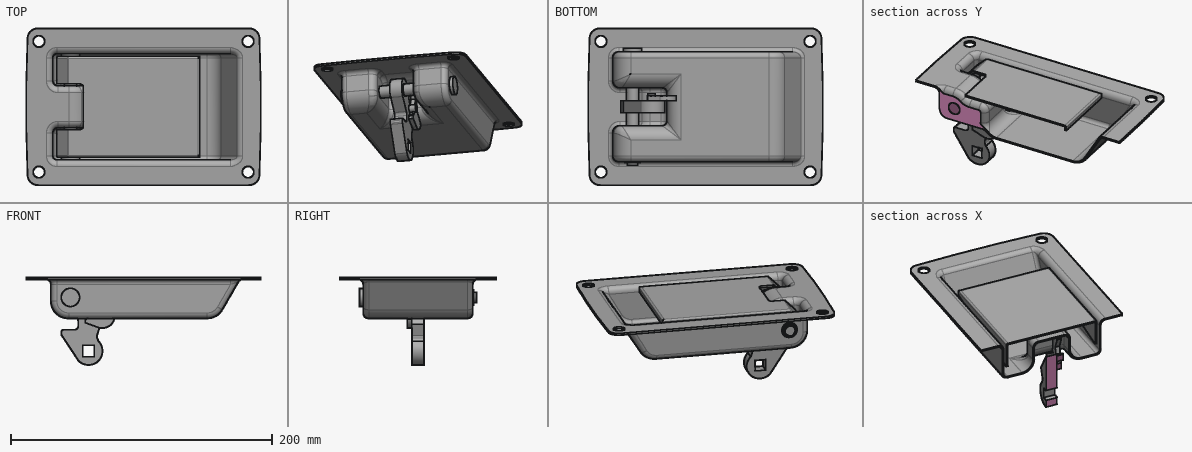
import cadquery as cq
import math

sheet = 1.6

flange_length = 179.7
flange_corner_length = 176.8
flange_width = 120.0
flange_corner_radius = 8.0
screw_hole_diameter = 8.6
screw_spacing_x = 160.0
screw_spacing_y = 99.9

tray_left = -71.0
tray_right = 74.5
tray_depth = 31.5
tray_half_width = 42.0
tray_end_angle = 60.0
tray_end_radius = 13.7
tray_edge_radius = 4.5
rim_radius = 3.5
lobe_radius = 5.5

notch_half_width = 14.4
notch_back = -29.6
notch_bottom_radius = 10.8
notch_shelf_radius = 4.7
tab_bend_start = -57.3
tab_bend_angle = 40.0
tab_upper_radius = 13.5
tab_lower_radius = 9.2

pivot_x = -55.9
pivot_z = -15.3
pin_radius = 4.7
pin_head_radius = 7.0
pin_head_length = 2.7
pin_tip_radius = 4.1
pin_tip_length = 2.7
ring_radius = 6.0
ring_thickness = 0.7

paddle_half_width = 38.5
paddle_right = 43.0
paddle_bend_x = -58.0
paddle_heel_z = -8.3
paddle_slope_angle = 45.0
paddle_skirt = 4.5
paddle_edge_radius = 1.5
paddle_ear_bottom = -22.6
paddle_ear_half_length = 5.8
paddle_notch_half_width = 17.5
paddle_notch_right = -46.0
paddle_notch_corner = 2.7
boss_radius = 7.0

lever_thickness = 9.5
hub_radius = 9.0
hub_flank_angle = 50.0
lever_left = -50.0
toe_left = -62.9
toe_top = -39.9
toe_bottom = -43.8
bulb_x = -42.0
bulb_z = -56.2
bulb_radius = 10.8
bulb_touch_angle = 225.0
bulb_neck_angle = 45.0
neck_x = -35.8
neck_z = -45.3
shoulder_x = -32.7
shoulder_z = -36.0
square_hole = 8.5
knee_radius = 3.6
toe_inner_radius = 2.7
toe_radius = 1.8
neck_radius = 2.7

catch_thickness = 3.6
catch_left = -44.4
catch_heel_top = -32.5
catch_heel_bottom = -34.7
catch_heel_step = (-41.9, -30.2)
catch_throat = (-38.3, -17.0)
catch_top_left = -42.2
catch_top_right = -34.1
catch_top = -7.5
catch_back = (-33.2, -25.2)
nose_x = -31.5
nose_z = -29.3
nose_radius = 9.5
nose_start_angle = 247.0
nose_end_angle = 344.0
stud_x = -41.1
stud_z = -25.5
stud_radius = 2.9
stud_length = 5.2


def polar(center, radius, degrees):
    """Point at an angle, counter-clockwise from +X in the XZ plane."""
    angle = math.radians(degrees)
    return (center[0] + radius * math.cos(angle), center[1] + radius * math.sin(angle))


def cylinder_y(x, z, radius, y_start, y_end):
    """Round bar along Y between two stations."""
    plane = cq.Plane(origin=(x, y_start, z), xDir=(1, 0, 0), normal=(0, 1, 0))
    return cq.Workplane(plane).circle(radius).extrude(y_end - y_start)


def tangent_angle(point, center, radius):
    """Direction from a circle's center to the upper touching point of a line from an outside point."""
    dx = point[0] - center[0]
    dz = point[1] - center[1]
    spread = math.acos(radius / math.hypot(dx, dz))
    return math.degrees(math.atan2(dz, dx) + spread)


def round_at(body, x, z, radius):
    """Round the edge along Y that is nearest to (x, z)."""
    return body.edges("|Y").edges(cq.selectors.NearestToPointSelector((x, 0, z))).fillet(radius)


def plain_tray(inset, rim_z):
    """Tray block without its notch; the inset moves every face inward."""
    slope = math.tan(math.radians(tray_end_angle))
    left = tray_left + inset
    right = tray_right - inset / math.sin(math.radians(tray_end_angle))
    bottom = inset - tray_depth
    tray = (
        cq.Workplane("XZ")
        .polyline([
            (left, rim_z),
            (right + rim_z / slope, rim_z),
            (right + bottom / slope, bottom),
            (left, bottom),
        ])
        .close()
        .extrude(tray_half_width - inset, both=True)
    )
    tray = tray.edges("|Y and <Z").fillet(tray_end_radius - inset)
    return tray.faces("<Y or >Y").edges("not >Z").fillet(tray_edge_radius - inset)


def notch_tool(inset, rim_z):
    """Space below the tab: flat roof, double bend down to a shelf, and an upright back."""
    upper = tab_upper_radius + inset
    lower = tab_lower_radius - inset
    corner = notch_shelf_radius + inset
    back = notch_back + inset
    far_left = -flange_length / 2
    upper_center = (tab_bend_start, rim_z - upper)
    bend = polar(upper_center, upper, 90 - tab_bend_angle)
    lower_center = polar(bend, lower, 90 - tab_bend_angle)
    shelf_z = lower_center[1] - lower
    corner_center = (back - corner, shelf_z - corner)
    return (
        cq.Workplane("XZ")
        .moveTo(far_left, rim_z)
        .lineTo(tab_bend_start, rim_z)
        .threePointArc(polar(upper_center, upper, 90 - tab_bend_angle / 2), bend)
        .threePointArc(polar(lower_center, lower, 270 - tab_bend_angle / 2), (lower_center[0], shelf_z))
        .lineTo(corner_center[0], shelf_z)
        .threePointArc(polar(corner_center, corner, 45), (back, corner_center[1]))
        .lineTo(back, -tray_depth)
        .lineTo(far_left, -tray_depth)
        .close()
        .extrude(notch_half_width + inset, both=True)
    )


def notched_block(inset, rim_z):
    """Block around the notch, with the wide rounding where the notch meets the tray floor."""
    bottom = inset - tray_depth
    block = cq.Workplane("XY").box(flange_length, flange_width, rim_z - bottom, centered=(True, True, False))
    block = block.translate((0, 0, bottom)).cut(notch_tool(inset, rim_z))
    reach = notch_half_width + 2 * sheet
    notch_floor = cq.selectors.BoxSelector(
        (tray_left, -reach, bottom - sheet / 2), (0, reach, bottom + sheet / 2)
    )
    return block.edges(notch_floor).fillet(notch_bottom_radius - inset)


def tray_with_slab(slab, inset, rim_z):
    """Tray block joined under a slab, with rounded lobe edges and a rounded rim."""
    tray = plain_tray(inset, rim_z).intersect(notched_block(inset, rim_z))

    reach = sheet / 4
    left = tray_left + inset
    side = notch_half_width + inset
    for y in (-side, side):
        lobe_edge = cq.selectors.BoxSelector(
            (left - reach, y - reach, -tray_depth), (left + reach, y + reach, rim_z)
        )
        tray = tray.edges(lobe_edge).fillet(lobe_radius - inset)

    body = tray.union(slab)
    rim = cq.selectors.BoxSelector(
        (tray_left - reach, -tray_half_width - reach, rim_z - reach),
        (tray_right + reach, tray_half_width + reach, rim_z + reach),
    )
    tab_line = cq.selectors.BoxSelector(
        (tab_bend_start - reach, -reach, rim_z - reach), (tab_bend_start + reach, reach, rim_z + reach)
    )
    return body.edges(rim - tab_line).fillet(rim_radius + inset)


def flange_plate():
    half_corner = flange_corner_length / 2
    half_length = flange_length / 2
    half_width = flange_width / 2
    return (
        cq.Workplane("XY")
        .workplane(offset=-sheet)
        .moveTo(-half_corner, -half_width)
        .lineTo(half_corner, -half_width)
        .threePointArc((half_length, 0), (half_corner, half_width))
        .lineTo(-half_corner, half_width)
        .threePointArc((-half_length, 0), (-half_corner, -half_width))
        .close()
        .extrude(sheet)
        .edges("|Z")
        .fillet(flange_corner_radius)
    )


def make_housing():
    outside = tray_with_slab(flange_plate(), 0, -sheet)
    air_slab = cq.Workplane("XY").box(flange_length, flange_width, sheet, centered=(True, True, False))
    inside = tray_with_slab(air_slab, sheet, 0)
    screw_holes = (
        cq.Workplane("XY")
        .workplane(offset=-sheet)
        .rect(screw_spacing_x, screw_spacing_y, forConstruction=True)
        .vertices()
        .circle(screw_hole_diameter / 2)
        .extrude(sheet)
    )
    pin_hole = cylinder_y(pivot_x, pivot_z, pin_radius, -tray_half_width, tray_half_width)
    return outside.cut(inside).cut(screw_holes).cut(pin_hole)


def slope_x(z, inset):
    """Station of the paddle's sloped face at a height, or of the same face moved inward."""
    bend_x = paddle_bend_x + inset * math.tan(math.radians(paddle_slope_angle / 2))
    return bend_x + (z + inset) / math.tan(math.radians(paddle_slope_angle))


def paddle_blank():
    ear_left = pivot_x - paddle_ear_half_length
    ear_right = pivot_x + paddle_ear_half_length
    blank = (
        cq.Workplane("XZ")
        .polyline([
            (slope_x(0, 0), 0),
            (paddle_right, 0),
            (paddle_right, -paddle_skirt),
            (ear_right, paddle_ear_bottom),
            (ear_left, paddle_ear_bottom),
            (slope_x(paddle_heel_z, 0), paddle_heel_z),
        ])
        .close()
        .extrude(paddle_half_width, both=True)
    )
    slope_middle = (slope_x(paddle_heel_z / 2, 0), 0, paddle_heel_z / 2)
    top_and_slope = blank.faces(">Z").add(blank.faces(cq.selectors.NearestToPointSelector(slope_middle)))
    blank = top_and_slope.edges("not <Z").fillet(paddle_edge_radius)

    notch_length = paddle_notch_right - tray_left
    notch = (
        cq.Workplane("XY")
        .box(notch_length, 2 * paddle_notch_half_width, 2 * tray_depth)
        .translate((paddle_notch_right - notch_length / 2, 0, 0))
        .edges("|Z and >X")
        .fillet(paddle_notch_corner)
    )
    return blank.cut(notch)


def paddle_cavity():
    """Hollow under the paddle, open below, which leaves a sheet top, slope and skirts."""
    cavity_right = paddle_right - sheet
    return (
        cq.Workplane("XZ")
        .polyline([
            (slope_x(-sheet, sheet), -sheet),
            (cavity_right, -sheet),
            (cavity_right, -tray_depth),
            (slope_x(-tray_depth, sheet), -tray_depth),
        ])
        .close()
        .extrude(paddle_half_width - sheet, both=True)
    )


def make_paddle():
    paddle = paddle_blank().cut(paddle_cavity())

    wall_y = tray_half_width - sheet
    for start, end in [(-wall_y, -paddle_half_width), (paddle_half_width, wall_y)]:
        paddle = paddle.union(cylinder_y(pivot_x, pivot_z, boss_radius, start, end))
    return paddle.cut(cylinder_y(pivot_x, pivot_z, pin_radius, -wall_y, wall_y))


def make_pin():
    head_y = -tray_half_width
    tip_y = tray_half_width
    shank = cylinder_y(pivot_x, pivot_z, pin_radius, head_y, tip_y)
    head = cylinder_y(pivot_x, pivot_z, pin_head_radius, head_y - pin_head_length, head_y)
    tip = cylinder_y(pivot_x, pivot_z, pin_tip_radius, tip_y, tip_y + pin_tip_length)
    return shank.union(head).union(tip)


def make_ring():
    ring_end = tray_half_width + ring_thickness
    ring = cylinder_y(pivot_x, pivot_z, ring_radius, tray_half_width, ring_end)
    return ring.cut(cylinder_y(pivot_x, pivot_z, pin_tip_radius, tray_half_width, ring_end))


def make_lever():
    hub = (pivot_x, pivot_z)
    bulb = (bulb_x, bulb_z)
    shoulder = (shoulder_x, shoulder_z)
    toe = (toe_left, toe_bottom)
    flank_start_angle = 180 + hub_flank_angle
    flank_start = polar(hub, hub_radius, flank_start_angle)
    knee_z = flank_start[1] - (lever_left - flank_start[0]) / math.tan(math.radians(hub_flank_angle))
    bulb_touch = polar(bulb, bulb_radius, bulb_touch_angle)
    hub_touch_angle = tangent_angle(shoulder, hub, hub_radius)
    hub_middle_angle = (hub_touch_angle + flank_start_angle) / 2
    hub_touch = polar(hub, hub_radius, hub_touch_angle)
    bulb_middle_angle = (bulb_touch_angle - 360 + bulb_neck_angle) / 2
    bulb_top = polar(bulb, bulb_radius, bulb_neck_angle)
    lever = (
        cq.Workplane("XZ")
        .moveTo(*flank_start)
        .lineTo(lever_left, knee_z)
        .lineTo(lever_left, toe_top)
        .lineTo(toe_left, toe_top)
        .lineTo(*toe)
        .lineTo(*bulb_touch)
        .threePointArc(polar(bulb, bulb_radius, bulb_middle_angle), bulb_top)
        .lineTo(neck_x, neck_z)
        .lineTo(*shoulder)
        .lineTo(*hub_touch)
        .threePointArc(polar(hub, hub_radius, hub_middle_angle), flank_start)
        .close()
        .extrude(lever_thickness / 2, both=True)
    )
    lever = round_at(lever, lever_left, knee_z, knee_radius)
    lever = round_at(lever, lever_left, toe_top, toe_inner_radius)
    lever = round_at(lever, toe_left, toe_top, toe_radius)
    lever = round_at(lever, *toe, toe_radius)
    lever = round_at(lever, neck_x, neck_z, neck_radius)
    half = lever_thickness / 2
    square = cq.Workplane("XY").box(square_hole, lever_thickness, square_hole).translate((bulb_x, 0, bulb_z))
    return lever.cut(square).cut(cylinder_y(pivot_x, pivot_z, pin_radius, -half, half))


def make_catch():
    nose = (nose_x, nose_z)
    nose_middle_angle = (nose_start_angle + nose_end_angle) / 2
    near_face = -lever_thickness / 2
    plate = (
        cq.Workplane("XZ", origin=(0, near_face, 0))
        .moveTo(catch_left, catch_heel_top)
        .lineTo(catch_left, catch_heel_bottom)
        .lineTo(*polar(nose, nose_radius, nose_start_angle))
        .threePointArc(
            polar(nose, nose_radius, nose_middle_angle),
            polar(nose, nose_radius, nose_end_angle),
        )
        .lineTo(*catch_back)
        .lineTo(catch_top_right, catch_top)
        .lineTo(catch_top_left, catch_top)
        .lineTo(*catch_throat)
        .lineTo(*catch_heel_step)
        .close()
        .extrude(catch_thickness)
    )
    return plate.union(cylinder_y(stud_x, stud_z, stud_radius, near_face - stud_length, near_face))


housing = make_housing()
paddle = make_paddle()
pin = make_pin()
ring = make_ring()
lever = make_lever()
catch = make_catch()

result = cq.Compound.makeCompound(
    [housing.val(), paddle.val(), pin.val(), ring.val(), lever.val(), catch.val()]
)